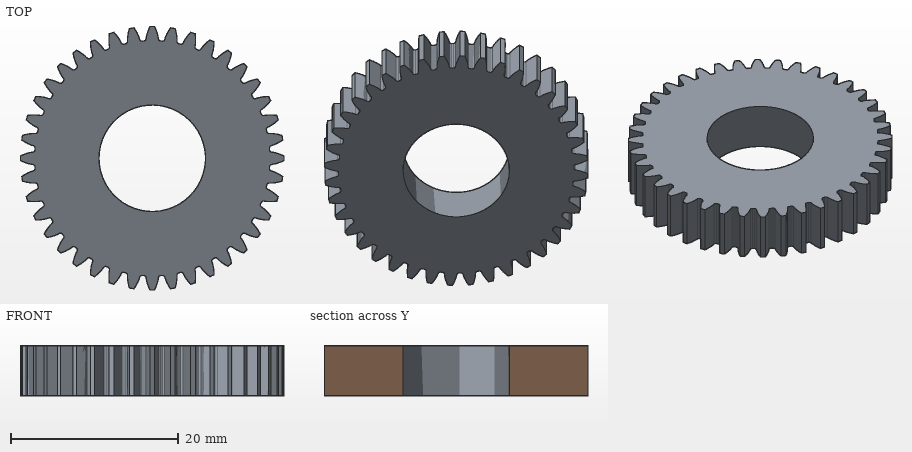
import cadquery as cq
import math

tooth_count = 40
tip_diameter = 31.5
face_width = 6.0
bore_diameter = 12.7
pressure_angle = math.radians(20)
dedendum_factor = 1.25
root_fillet = 0.25
flank_point_count = 6

module = tip_diameter / (tooth_count + 2)
tip_radius = tip_diameter / 2
pitch_radius = module * tooth_count / 2
base_radius = pitch_radius * math.cos(pressure_angle)
root_radius = pitch_radius - dedendum_factor * module
tooth_pitch_angle = 2 * math.pi / tooth_count


def involute(angle):
    return math.tan(angle) - angle


def polar_point(radius, angle):
    return (radius * math.cos(angle), radius * math.sin(angle))


def half_tooth_angle(radius):
    """Angle between the tooth centreline and its involute flank at a radius."""
    local_pressure_angle = math.acos(base_radius / radius)
    return tooth_pitch_angle / 4 + involute(pressure_angle) - involute(local_pressure_angle)


fillet_centre_radius = root_radius + root_fillet
fillet_centre_angle = half_tooth_angle(fillet_centre_radius) + root_fillet / base_radius

fillet_tangent_length = math.sqrt(fillet_centre_radius**2 - base_radius**2)
flank_start_radius = math.hypot(base_radius, fillet_tangent_length - root_fillet)
flank_start_angle = half_tooth_angle(flank_start_radius)


def fillet_middle():
    """Midpoint of the fillet arc, relative to a tooth centred on angle zero."""
    centre = cq.Vector(*polar_point(fillet_centre_radius, fillet_centre_angle))
    flank_end = cq.Vector(*polar_point(flank_start_radius, flank_start_angle))
    root_end = cq.Vector(*polar_point(root_radius, fillet_centre_angle))
    toward_middle = ((flank_end + root_end) * 0.5 - centre).normalized()
    middle = centre + toward_middle * root_fillet
    return math.hypot(middle.x, middle.y), math.atan2(middle.y, middle.x)


fillet_middle_radius, fillet_middle_angle = fillet_middle()
radius_step = (tip_radius - flank_start_radius) / (flank_point_count - 1)
flank_radii = [flank_start_radius + i * radius_step for i in range(flank_point_count)]


def add_tooth(outline, centre_angle):
    """Draw one tooth and the root gap after it, starting at the foot fillet of the tooth."""

    def at(radius, angle):
        return polar_point(radius, centre_angle + angle)

    rising_flank = [at(r, -half_tooth_angle(r)) for r in flank_radii]
    falling_flank = [at(r, half_tooth_angle(r)) for r in reversed(flank_radii)]
    next_root_start = tooth_pitch_angle - fillet_centre_angle

    outline = outline.threePointArc(at(fillet_middle_radius, -fillet_middle_angle), rising_flank[0])
    outline = outline.spline(rising_flank[1:], includeCurrent=True)
    outline = outline.threePointArc(at(tip_radius, 0), falling_flank[0])
    outline = outline.spline(falling_flank[1:], includeCurrent=True)
    outline = outline.threePointArc(
        at(fillet_middle_radius, fillet_middle_angle),
        at(root_radius, fillet_centre_angle),
    )
    return outline.threePointArc(
        at(root_radius, tooth_pitch_angle / 2),
        at(root_radius, next_root_start),
    )


gear_outline = cq.Workplane("XY").moveTo(*polar_point(root_radius, -fillet_centre_angle))
for tooth in range(tooth_count):
    gear_outline = add_tooth(gear_outline, tooth * tooth_pitch_angle)
gear = gear_outline.close().extrude(face_width)

result = gear.faces(">Z").workplane(origin=(0, 0, 0)).hole(bore_diameter)